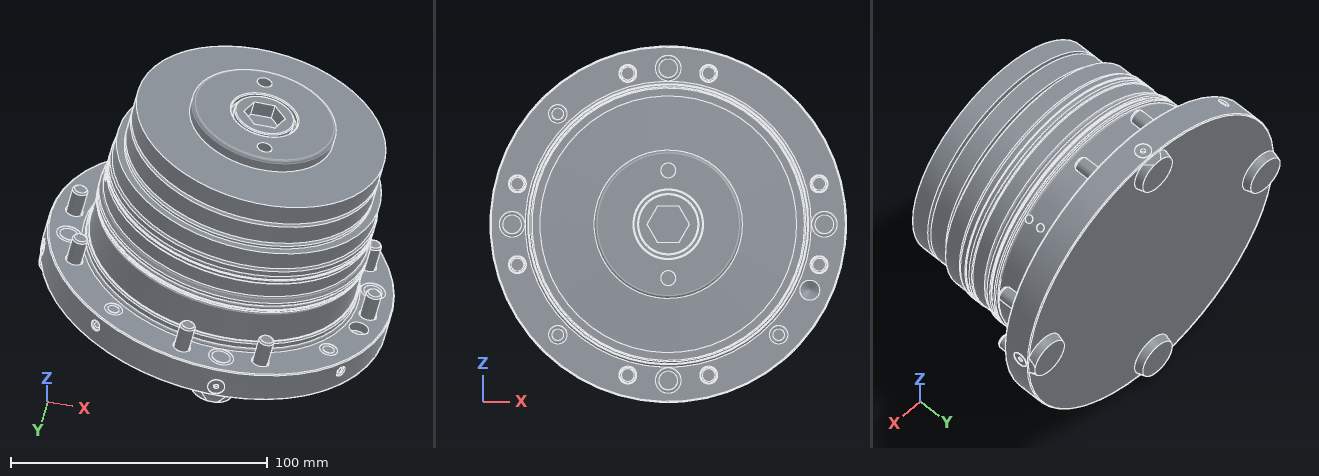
import cadquery as cq
import math


flange_radius = 69.5
flange_depth = 12.6
flange_chamfer = 0.4
bolt_circle_radius = 60.9

seal_bead_radius = 55.7
seal_bead_end = 14.0
collar_radius = 54.8
collar_taper_start = 16.3
collar_edge_radius = 54.3
collar_end = 17.1
shaft_radius = 54.0
shaft_taper_start = 30.6
shaft_edge_radius = 53.7
rear_land_start = 31.4
rear_land_radius = 54.5
land_edge = 0.4
rear_ring_start = 32.7
rear_ring_end = 34.5
rear_groove_end = 35.0
rear_land_end = 36.4
middle_start = 38.1
middle_radius = 53.7
ring_bed_depth = 0.8
waist_radius = 53.4
waist_start = 38.9
waist_end = 45.2
waist_taper = 0.4
front_ring_start = 47.0
front_ring_end = 49.2
middle_end = 51.5
front_taper_end = 52.7
front_radius = 53.1
front_end = 60.2
disc_radius = 50.0
neck_radius = 44.9
collar_disc_end = 61.5
rear_disc_start = 63.0
rear_disc_end = 71.0
front_disc_start = 72.7
front_disc_end = 80.9
boss_start = 81.7
boss_radius = 28.9
boss_round = 1.1
boss_end = 86.9

bore_radius = 13.3
screw_head_radius = 12.0
head_gap_depth = 2.8
head_chamfer = 0.4
hex_across_flats = 14.3
hex_depth = 6.1
spanner_hole_radius = 2.9
spanner_hole_offset = 21.0
spanner_hole_depth = 5.5

stud_radius = 3.0
stud_end = 23.6
stud_tip_radius = 2.5
stud_tip_length = 0.8
stud_angle = 15
stud_hole_radius = 3.5
stud_hole_depth = 1.4

ring_section_radius = 0.7
ring_sink = 0.21
large_ring_radius = 4.3
small_ring_radius = 2.9
small_ring_angles = (135, 225, 315)
drill_radius = 3.9
drill_depth = 4.2
drill_tip_angle = 118
drill_angle = -25
pad_base_radius = 9.3
pad_top_radius = 8.3
pad_height = 3.5
pad_trim_radius = 69.1

plug_radius = 3.3
plug_recess = 0.3
plug_position = 4.3
plug_socket_radius = 1.0
plug_socket_depth = 1.7
vent_radius = 2.2
vent_inner_radius = 1.3
vent_position = 7.8
vent_step_depth = 0.8
vent_depth = 3.5
port_radius = 1.7
port_positions = (23.4, 29.5)
port_angle = 45
port_depth = 0.3
side_hole_radius = 1.7
side_hole_position = 43.2
side_hole_angle = 180
side_hole_depth = 0.3

QUARTER_ANGLES = (0, 90, 180, 270)


def ring_point(radius, angle, distance):
    """Point at a radius and angle about the Y axis, a distance in front of Y = 0."""
    a = math.radians(angle)
    return cq.Vector(radius * math.cos(a), -distance, radius * math.sin(a))


def rod(radius, angle, position, start, end):
    """Cylinder parallel to Y, running forward from start to end."""
    base = ring_point(position, angle, start)
    return cq.Workplane(cq.Solid.makeCylinder(radius, end - start, base, cq.Vector(0, -1, 0)))


def cone(back_radius, front_radius, angle, position, start, end):
    """Cone frustum parallel to Y, running forward from start to end."""
    base = ring_point(position, angle, start)
    return cq.Workplane(
        cq.Solid.makeCone(back_radius, front_radius, end - start, base, cq.Vector(0, -1, 0))
    )


def radial_hole(radius, angle, distance, surface_radius, depth):
    """Cutter running inwards from a turned surface towards the Y axis."""
    clearance = 1.4
    base = ring_point(surface_radius + clearance, angle, distance)
    inward = ring_point(-1, angle, 0)
    return cq.Workplane(cq.Solid.makeCylinder(radius, depth + clearance, base, inward))


def turned_body():
    """Flange, sealing lands, discs and boss as one revolved profile."""
    rear_bed_radius = rear_land_radius - ring_bed_depth
    front_bed_radius = middle_radius - ring_bed_depth
    boss_round_mid = boss_round * (1 - math.sqrt(0.5))
    profile = (
        cq.Workplane("XY")
        .moveTo(0, 0)
        .lineTo(flange_radius - flange_chamfer, 0)
        .lineTo(flange_radius, -flange_chamfer)
        .lineTo(flange_radius, flange_chamfer - flange_depth)
        .lineTo(flange_radius - flange_chamfer, -flange_depth)
        .lineTo(seal_bead_radius, -flange_depth)
        .threePointArc(
            (
                collar_radius + (seal_bead_radius - collar_radius) * math.sqrt(0.5),
                -flange_depth - (seal_bead_end - flange_depth) * math.sqrt(0.5),
            ),
            (collar_radius, -seal_bead_end),
        )
        .lineTo(collar_radius, -collar_taper_start)
        .lineTo(collar_edge_radius, -collar_end)
        .lineTo(shaft_radius, -collar_end)
        .lineTo(shaft_radius, -shaft_taper_start)
        .lineTo(shaft_edge_radius, -rear_land_start)
        .lineTo(rear_land_radius, -(rear_land_start + land_edge))
        .lineTo(rear_land_radius, -rear_ring_start)
        .lineTo(rear_bed_radius, -rear_ring_start)
        .threePointArc(
            (rear_land_radius, -(rear_ring_start + rear_ring_end) / 2),
            (rear_bed_radius, -rear_ring_end),
        )
        .lineTo(rear_bed_radius, -rear_groove_end)
        .lineTo(rear_land_radius, -rear_groove_end)
        .lineTo(rear_land_radius, -rear_land_end)
        .lineTo(middle_radius, -middle_start)
        .lineTo(waist_radius, -waist_start)
        .lineTo(waist_radius, -waist_end)
        .lineTo(middle_radius, -(waist_end + waist_taper))
        .lineTo(middle_radius, -front_ring_start)
        .lineTo(front_bed_radius, -front_ring_start)
        .threePointArc(
            (middle_radius, -(front_ring_start + front_ring_end) / 2),
            (front_bed_radius, -front_ring_end),
        )
        .lineTo(middle_radius, -front_ring_end)
        .lineTo(middle_radius, -middle_end)
        .lineTo(front_radius, -front_taper_end)
        .lineTo(front_radius, -front_end)
        .lineTo(disc_radius, -front_end)
        .lineTo(disc_radius, -collar_disc_end)
        .lineTo(neck_radius, -collar_disc_end)
        .lineTo(neck_radius, -rear_disc_start)
        .lineTo(disc_radius, -rear_disc_start)
        .lineTo(disc_radius, -rear_disc_end)
        .lineTo(neck_radius, -rear_disc_end)
        .lineTo(neck_radius, -front_disc_start)
        .lineTo(disc_radius, -front_disc_start)
        .lineTo(disc_radius, -front_disc_end)
        .lineTo(boss_radius, -boss_start)
        .lineTo(boss_radius, boss_round - boss_end)
        .threePointArc(
            (boss_radius - boss_round_mid, boss_round_mid - boss_end),
            (boss_radius - boss_round, -boss_end),
        )
        .lineTo(0, -boss_end)
        .close()
    )
    return profile.revolve(360, (0, 0, 0), (0, 1, 0))


def centre_screw_cut():
    """Annular gap round the screw head, its hexagon socket and two spanner holes."""
    gap_floor = boss_end - head_gap_depth
    chamfer_start = boss_end - head_chamfer
    gap = rod(bore_radius, 0, 0, gap_floor, boss_end)
    gap = gap.union(cone(bore_radius, bore_radius + head_chamfer, 0, 0, chamfer_start, boss_end))
    gap = gap.cut(rod(screw_head_radius, 0, 0, gap_floor, chamfer_start))
    gap = gap.cut(
        cone(screw_head_radius, screw_head_radius - head_chamfer, 0, 0, chamfer_start, boss_end)
    )
    corner_diameter = hex_across_flats / math.cos(math.pi / 6)
    socket = (
        cq.Workplane("XZ", origin=(0, hex_depth - boss_end, 0))
        .polygon(6, corner_diameter)
        .extrude(hex_depth)
    )
    cutter = gap.union(socket)
    for angle in (90, 270):
        cutter = cutter.union(
            rod(spanner_hole_radius, angle, spanner_hole_offset, boss_end - spanner_hole_depth, boss_end)
        )
    return cutter


def add_studs(body):
    """Pairs of chamfered studs either side of each axis, each in a clearance hole."""
    for axis_angle in QUARTER_ANGLES:
        for angle in (axis_angle - stud_angle, axis_angle + stud_angle):
            hole_floor = flange_depth - stud_hole_depth
            hole = rod(stud_hole_radius, angle, bolt_circle_radius, hole_floor, flange_depth)
            tip_start = stud_end - stud_tip_length
            stud = rod(stud_radius, angle, bolt_circle_radius, flange_depth / 2, tip_start)
            tip = cone(stud_radius, stud_tip_radius, angle, bolt_circle_radius, tip_start, stud_end)
            body = body.cut(hole).union(stud.union(tip))
    return body


def add_pads(body):
    """Tapered rear pads, trimmed just inside the flange rim."""
    trim = rod(pad_trim_radius, 0, 0, -pad_height, 0)
    for angle in QUARTER_ANGLES:
        pad = cone(pad_top_radius, pad_base_radius, angle, bolt_circle_radius, -pad_height, 0)
        body = body.union(pad.intersect(trim))
    return body


def add_sealing_rings(body):
    """Round-section rings let into the front of the flange, standing slightly proud."""
    rings = [(large_ring_radius, angle) for angle in QUARTER_ANGLES]
    rings += [(small_ring_radius, angle) for angle in small_ring_angles]
    for radius, angle in rings:
        centre = ring_point(bolt_circle_radius, angle, flange_depth - ring_sink)
        ring = cq.Solid.makeTorus(radius, ring_section_radius, centre, cq.Vector(0, -1, 0))
        body = body.union(cq.Workplane(ring))
    return body


def cut_drill_point(body):
    """Blind drilled hole with a conical bottom in the flange's front face."""
    drill_end = flange_depth - drill_depth
    tip_length = drill_radius / math.tan(math.radians(drill_tip_angle / 2))
    body = body.cut(rod(drill_radius, drill_angle, bolt_circle_radius, drill_end, flange_depth))
    tip_start = drill_end - tip_length
    return body.cut(cone(0, drill_radius, drill_angle, bolt_circle_radius, tip_start, drill_end))


def cut_radial_holes(body):
    """Sunk plugs and vents in the flange rim, and shallow ports in the turned body."""
    for angle in QUARTER_ANGLES:
        body = body.cut(radial_hole(plug_radius, angle, plug_position, flange_radius, plug_recess))
        body = body.cut(
            radial_hole(plug_socket_radius, angle, plug_position, flange_radius, plug_socket_depth)
        )
    for angle in small_ring_angles:
        body = body.cut(radial_hole(vent_radius, angle, vent_position, flange_radius, vent_step_depth))
        body = body.cut(radial_hole(vent_inner_radius, angle, vent_position, flange_radius, vent_depth))
    for position in port_positions:
        body = body.cut(radial_hole(port_radius, port_angle, position, shaft_radius, port_depth))
    return body.cut(
        radial_hole(side_hole_radius, side_hole_angle, side_hole_position, waist_radius, side_hole_depth)
    )


result = turned_body().cut(centre_screw_cut())
result = add_studs(result)
result = add_pads(result)
result = add_sealing_rings(result)
result = cut_drill_point(result)
result = cut_radial_holes(result)